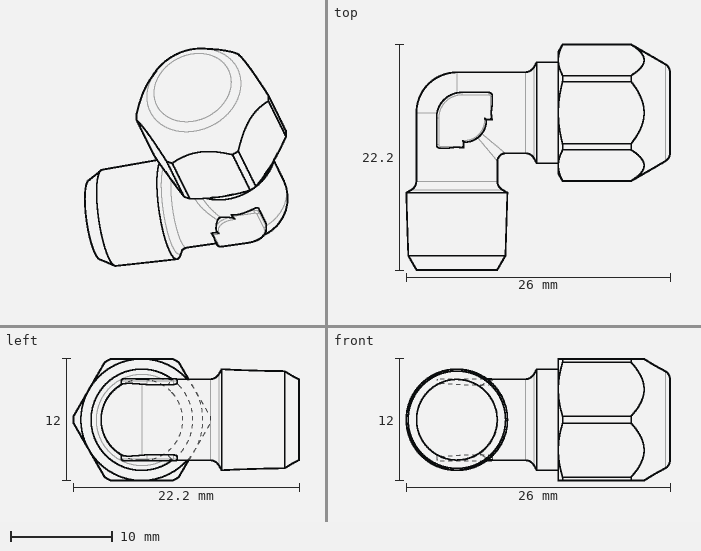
import cadquery as cq
import math

leg_radius = 4.0
collar_radius = 5.0
neck_start = 6.74
neck_blend = 1.0
neck_slope = math.radians(60)
flare_end_radius = leg_radius + neck_blend * (1 - math.cos(neck_slope))
flare_end = neck_start + neck_blend * math.sin(neck_slope)
collar_start = flare_end + (collar_radius - flare_end_radius) / math.tan(neck_slope)
crotch_fillet = 0.78

nut_start = 10.0
nut_end = 26 - collar_radius
nut_flats = 12.0
nut_corner_radius = 6.74
nut_chamfer_angle = math.radians(30)
nut_tip_fillet = 1.0
nut_cone_start = 17.17

stub_end = 15.5
stub_chamfer_length = 1.43
stub_chamfer_angle = math.radians(30)
stub_taper = 1 / 32

pad_height = 4.03
pad_depth = 1.55
pad_edge_fillet = 0.2
pad_reach = 2.0
pad_length = 3.5
pad_step = 0.73
pad_outer_radius = 2.5
pad_inner_radius = 2.18
pad_corner_radius = 0.4


def revolve_about_x(profile):
    return profile.close().revolve(360, (0, 0, 0), (1, 0, 0))


def leg_profile():
    """Upper half of a leg, with its concave flare and cone, up to the collar radius."""
    mid = neck_slope / 2
    flare_mid = neck_start + neck_blend * math.sin(mid)
    flare_mid_radius = leg_radius + neck_blend * (1 - math.cos(mid))
    return (
        cq.Workplane("XY")
        .lineTo(0, leg_radius)
        .lineTo(neck_start, leg_radius)
        .threePointArc((flare_mid, flare_mid_radius), (flare_end, flare_end_radius))
        .lineTo(collar_start, collar_radius)
    )


def make_nut_leg():
    return revolve_about_x(leg_profile().lineTo(nut_start, collar_radius).lineTo(nut_start, 0))


def make_stub_leg():
    chamfer_start = stub_end - stub_chamfer_length
    chamfer_radius = collar_radius - (chamfer_start - collar_start) * stub_taper
    end_radius = chamfer_radius - stub_chamfer_length * math.tan(stub_chamfer_angle)
    stub = revolve_about_x(
        leg_profile()
        .lineTo(chamfer_start, chamfer_radius)
        .lineTo(stub_end, end_radius)
        .lineTo(stub_end, 0)
    )
    return stub.rotate((0, 0, 0), (0, 0, 1), -90)


def make_nut():
    """Hexagon with flats facing up and down, trimmed by a turned envelope."""
    across_corners = nut_flats / math.cos(math.pi / 6)
    hexagon = (
        cq.Workplane("YZ", origin=(nut_start, 0, 0))
        .polygon(6, across_corners)
        .extrude(nut_end - nut_start)
    )
    face_radius = nut_flats / 2
    chamfer_length = (nut_corner_radius - face_radius) * math.tan(nut_chamfer_angle)
    tip_radius = nut_corner_radius - (nut_end - nut_cone_start) * math.tan(nut_chamfer_angle)
    envelope = revolve_about_x(
        cq.Workplane("XY")
        .moveTo(nut_start, 0)
        .lineTo(nut_start, face_radius)
        .lineTo(nut_start + chamfer_length, nut_corner_radius)
        .lineTo(nut_cone_start, nut_corner_radius)
        .lineTo(nut_end, tip_radius)
        .lineTo(nut_end, 0)
    )
    envelope = envelope.faces(">X").edges().fillet(nut_tip_fillet)
    return hexagon.intersect(envelope)


def make_pad():
    """Pad with a rounded top edge, mirror-symmetric about the bisector of the two legs."""
    arc_centre = pad_outer_radius - pad_reach
    outer_mid = arc_centre - pad_outer_radius * math.sqrt(0.5)
    inner_mid = pad_step + pad_inner_radius * math.sqrt(0.5)
    inner_end = pad_step + pad_inner_radius
    corner = pad_corner_radius
    corner_mid = corner * (1 - math.sqrt(0.5))
    return (
        cq.Workplane("XY", origin=(0, 0, pad_height))
        .moveTo(arc_centre, pad_reach)
        .lineTo(pad_length - corner, pad_reach)
        .threePointArc(
            (pad_length - corner_mid, pad_reach - corner_mid),
            (pad_length, pad_reach - corner),
        )
        .lineTo(pad_length, -pad_step)
        .lineTo(inner_end, -pad_step)
        .threePointArc((inner_mid, -inner_mid), (pad_step, -inner_end))
        .lineTo(pad_step, -pad_length)
        .lineTo(-pad_reach + corner, -pad_length)
        .threePointArc(
            (-pad_reach + corner_mid, -pad_length + corner_mid),
            (-pad_reach, -pad_length + corner),
        )
        .lineTo(-pad_reach, -arc_centre)
        .threePointArc((outer_mid, -outer_mid), (arc_centre, pad_reach))
        .close()
        .extrude(-pad_depth)
        .faces(">Z")
        .edges()
        .fillet(pad_edge_fillet)
    )


pad = make_pad()
elbow = cq.Workplane("XY").sphere(leg_radius).union(make_nut_leg()).union(make_stub_leg())
elbow = elbow.union(pad).union(pad.mirror("XY"))

selection_margin = 0.25
crotch_box = cq.selectors.BoxSelector(
    (pad_step, -leg_radius - selection_margin, -leg_radius),
    (leg_radius + selection_margin, -pad_step, leg_radius),
    boundingbox=True,
)
elbow = elbow.edges("%ELLIPSE").edges(crotch_box).fillet(crotch_fillet)

result = elbow.union(make_nut())